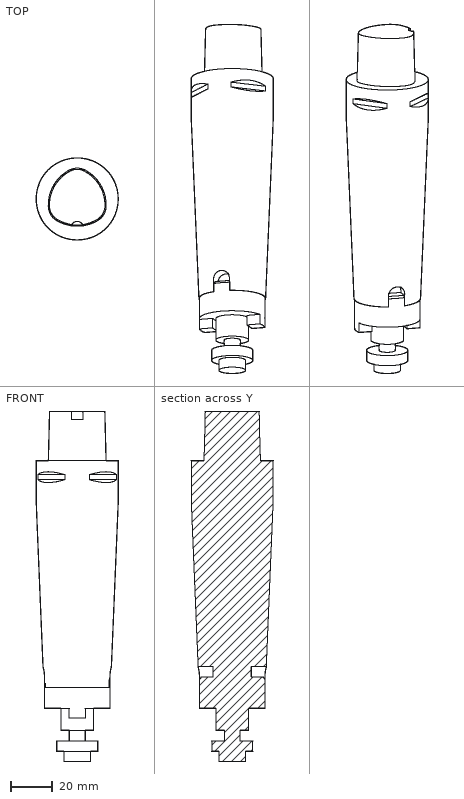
import cadquery as cq
import math

total_height = 170.0
shank_base = 146.0
collar_base = 126.0
cone_base = 36.0
nose_base = 25.8
key_base = 21.0
boss_base = 15.1
neck_base = 10.0
disc_base = 5.0

collar_diameter = 40.0
cone_end_diameter = 32.5
nose_diameter = 32.0
boss_diameter = 16.0
neck_diameter = 7.8
disc_diameter = 20.0
pin_diameter = 13.0

lobe_reach = 15.0
flank_reach = 13.3
lobe_radius = 8.3
shank_taper = math.degrees(math.atan(1 / 40))

notch_radius = 3.0
notch_axis_y = -14.0
notch_depth = 4.0

groove_height = 138.0
groove_floor_distance = 17.7
groove_floor_width = 2.4
groove_mouth_width = 5.3
groove_depth = collar_diameter / 2 - groove_floor_distance

pocket_width = 8.2
pocket_center_z = 42.0
pocket_floor_x = 9.4
ledge_inner_radius = 15.1
ledge_outer_z = 40.1
ledge_inner_z = 41.1

key_width = 7.8
key_inner_y = 8.8


def cylinder(diameter, bottom, top):
    return cq.Workplane("XY").workplane(offset=bottom).circle(diameter / 2).extrude(top - bottom)


def polar(radius, degrees):
    angle = math.radians(degrees)
    return (radius * math.cos(angle), radius * math.sin(angle))


def make_cone():
    cone = (
        cq.Workplane("XZ")
        .moveTo(0, collar_base)
        .lineTo(collar_diameter / 2, collar_base)
        .lineTo(cone_end_diameter / 2, cone_base)
        .lineTo(0, cone_base)
        .close()
        .revolve(360, (0, 0, 0), (0, 1, 0))
    )
    for angle in (0, 180):
        cone = cone.cut(make_pocket(angle))
    return cone


def make_nose():
    return (
        cq.Workplane("XZ")
        .moveTo(0, nose_base)
        .lineTo(nose_diameter / 2, nose_base)
        .lineTo(nose_diameter / 2, ledge_outer_z)
        .lineTo(ledge_inner_radius, ledge_inner_z)
        .lineTo(0, ledge_inner_z)
        .close()
        .revolve(360, (0, 0, 0), (0, 1, 0))
    )


def make_collar():
    collar = cylinder(collar_diameter, collar_base, shank_base)
    for angle in (45, 135, 225, 315):
        collar = collar.cut(make_gripper_groove(angle))
    return collar


def make_retaining_screw():
    sections = [
        (boss_diameter, boss_base, nose_base),
        (neck_diameter, neck_base, boss_base),
        (disc_diameter, disc_base, neck_base),
        (pin_diameter, 0, disc_base),
    ]
    screw = cq.Workplane("XY")
    for diameter, bottom, top in sections:
        screw = screw.union(cylinder(diameter, bottom, top))
    return screw


def make_shank():
    lobe_offset = lobe_reach - lobe_radius
    flank_gap = flank_reach - lobe_radius
    flank_offset = (flank_gap**2 - lobe_offset**2) / (lobe_offset - 2 * flank_gap)
    flank_radius = flank_reach + flank_offset
    lobe_x, lobe_y = polar(lobe_offset, -30)
    reach_ratio = flank_radius / (flank_radius - lobe_radius)
    joint_x = lobe_x * reach_ratio
    joint_y = flank_offset + (lobe_y - flank_offset) * reach_ratio
    joint_distance = math.hypot(joint_x, joint_y)
    joint_angle = math.degrees(math.atan2(joint_y, joint_x))
    joint_spread = -30 - joint_angle

    outline = cq.Workplane("XY").workplane(offset=shank_base).moveTo(joint_x, joint_y)
    for lobe_angle in (-30, 90, 210):
        lobe_end = polar(joint_distance, lobe_angle + joint_spread)
        flank_end = polar(joint_distance, lobe_angle + 120 - joint_spread)
        outline = outline.threePointArc(polar(lobe_reach, lobe_angle), lobe_end)
        outline = outline.threePointArc(polar(flank_reach, lobe_angle + 60), flank_end)
    shank = outline.close().extrude(total_height - shank_base, taper=shank_taper)
    notch = cylinder(2 * notch_radius, total_height - notch_depth, total_height)
    return shank.cut(notch.translate((0, notch_axis_y, 0)))


def make_gripper_groove(angle):
    outer = groove_floor_distance + 2 * groove_depth
    outer_half_width = groove_mouth_width - groove_floor_width / 2
    floor_half_width = groove_floor_width / 2
    groove = (
        cq.Workplane("XZ")
        .moveTo(groove_floor_distance, groove_height - floor_half_width)
        .lineTo(outer, groove_height - outer_half_width)
        .lineTo(outer, groove_height + outer_half_width)
        .lineTo(groove_floor_distance, groove_height + floor_half_width)
        .close()
        .extrude(collar_diameter / 2, both=True)
    )
    return groove.rotate((0, 0, 0), (0, 0, 1), angle)


def make_pocket(angle):
    half_width = pocket_width / 2
    pocket = (
        cq.Workplane("YZ")
        .workplane(offset=pocket_floor_x)
        .moveTo(-half_width, cone_base)
        .lineTo(half_width, cone_base)
        .lineTo(half_width, pocket_center_z)
        .threePointArc((0, pocket_center_z + half_width), (-half_width, pocket_center_z))
        .close()
        .extrude(collar_diameter / 2)
    )
    return pocket.rotate((0, 0, 0), (0, 0, 1), angle)


def make_drive_keys():
    ring = cylinder(nose_diameter, key_base, nose_base)
    key_height = nose_base - key_base
    bar = cq.Workplane("XY").box(key_width, nose_diameter, key_height, centered=(True, True, False))
    gap = cq.Workplane("XY").box(key_width, 2 * key_inner_y, key_height, centered=(True, True, False))
    return ring.intersect(bar.cut(gap).translate((0, 0, key_base)))


result = make_cone()
for section in (make_nose(), make_collar(), make_shank(), make_retaining_screw(), make_drive_keys()):
    result = result.union(section)